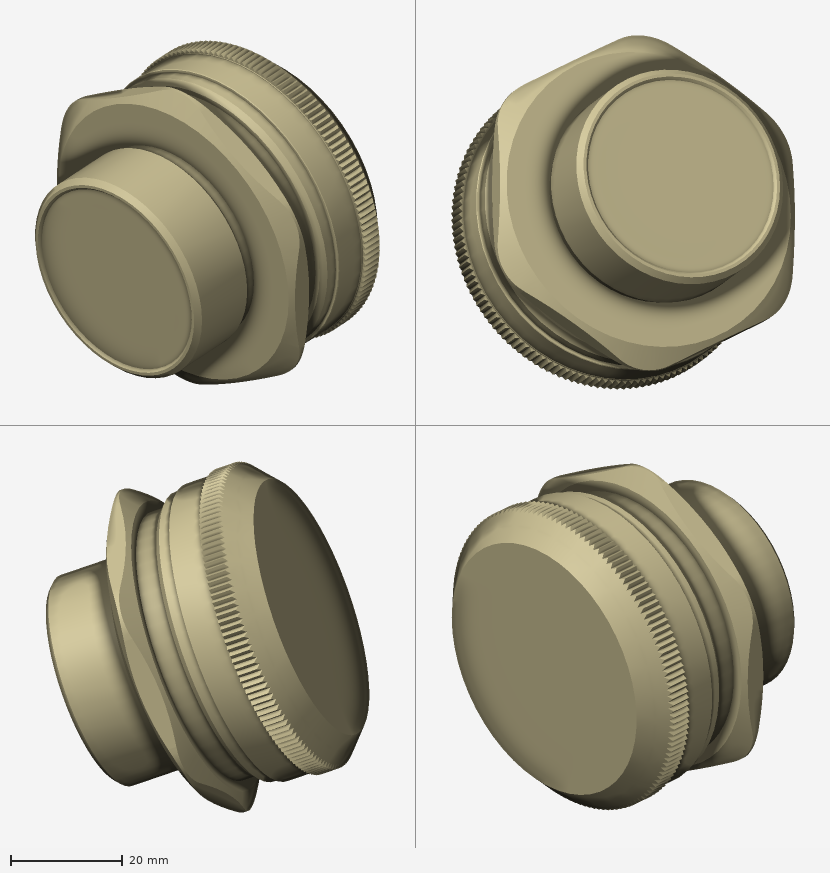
import cadquery as cq
import math

spigot_relief_start = 13.2
hex_start = 16.0
hex_width = 5.0
collar_start = 25.5
cap_start = 28.8
knurl_flange_start = 35.0
knurl_start = 35.2
total_length = 43.75

spigot_dia = 40.0
relief_dia = 38.4
spigot_mouth_dia = 36.85
neck_dia = 51.0
collar_dia = 55.0
cap_dia = 56.4
knurl_root_dia = 56.7
knurl_dia = 58.0

end_chamfer = 1.0
mouth_chamfer = 0.5
cap_edge_chamfer = 0.1
cap_cone = 4.75

hex_sides = 6
across_flats = 57.0
across_corners = 62.7
hex_face_dia = 55.0
hex_chamfer_angle = 30.0

knurl_count = 144


def revolve_about_y(points):
    """Solid of revolution about Y from (radius, y) points."""
    return cq.Workplane("XY").polyline(points).close().revolve(360, (0, 0, 0), (0, 1, 0))


def xz_plane(y):
    """Workplane at height y whose extrusions run toward +Y."""
    return cq.Workplane(cq.Plane(origin=(0, y, 0), xDir=(1, 0, 0), normal=(0, 1, 0)))


def turned_body():
    spigot_r = spigot_dia / 2
    relief_r = relief_dia / 2
    mouth_r = spigot_mouth_dia / 2
    neck_r = neck_dia / 2
    collar_r = collar_dia / 2
    cap_r = cap_dia / 2
    knurl_root_r = knurl_root_dia / 2
    return revolve_about_y([
        (0, mouth_chamfer),
        (mouth_r - mouth_chamfer, mouth_chamfer),
        (mouth_r, 0),
        (spigot_r - end_chamfer, 0),
        (spigot_r, end_chamfer),
        (spigot_r, spigot_relief_start),
        (relief_r, spigot_relief_start + spigot_r - relief_r),
        (relief_r, hex_start),
        (neck_r, hex_start),
        (neck_r, collar_start),
        (collar_r - end_chamfer, collar_start),
        (collar_r, collar_start + end_chamfer),
        (collar_r, cap_start),
        (cap_r - cap_edge_chamfer, cap_start),
        (cap_r, cap_start + cap_edge_chamfer),
        (cap_r, knurl_flange_start),
        (knurl_root_r, knurl_flange_start),
        (knurl_root_r, knurl_start),
        (0, knurl_start),
    ])


def hexagon():
    half_sector = 180 / hex_sides
    corner_ratio = 1 / math.cos(math.radians(half_sector))
    sharp_r = across_flats / 2 * corner_ratio
    corner_radius = (sharp_r - across_corners / 2) / (corner_ratio - 1)
    prism = (
        xz_plane(hex_start)
        .transformed(rotate=(0, 0, half_sector))
        .polygon(hex_sides, 2 * sharp_r)
        .extrude(hex_width)
        .edges("|Y")
        .fillet(corner_radius)
    )
    face_r = hex_face_dia / 2
    outer_r = face_r + hex_width / 2 / math.tan(math.radians(hex_chamfer_angle))
    bevel = revolve_about_y([
        (0, hex_start),
        (face_r, hex_start),
        (outer_r, hex_start + hex_width / 2),
        (face_r, hex_start + hex_width),
        (0, hex_start + hex_width),
    ])
    return prism.intersect(bevel)


def knurled_end():
    root_r = knurl_root_dia / 2
    tip_r = knurl_dia / 2
    pitch = 2 * math.pi / knurl_count
    points = []
    for tooth in range(knurl_count):
        for radius, angle in ((root_r, tooth * pitch), (tip_r, (tooth + 0.5) * pitch)):
            points.append((radius * math.cos(angle), radius * math.sin(angle)))
    ring = xz_plane(knurl_start).polyline(points).close().extrude(total_length - knurl_start)
    back_r = tip_r - cap_cone
    cone = revolve_about_y([
        (0, knurl_start),
        (back_r + total_length - knurl_start, knurl_start),
        (back_r, total_length),
        (0, total_length),
    ])
    return ring.intersect(cone)


result = turned_body().union(hexagon()).union(knurled_end())